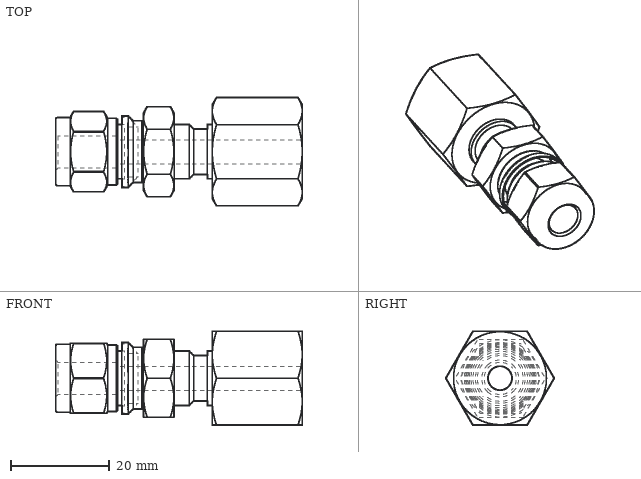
import cadquery as cq
import math

total_length = 50.18
hex_bevel_angle = math.radians(30)

nut_across_flats = 14.29
nut_across_corners = 16.37
nut_hex_start = 2.95
nut_hex_end = 10.6
nut_nose_diameter = 13.9
nut_nose_rounding = 0.45
nut_skirt_diameter = 13.6
nut_skirt_bevel = 0.25
nut_skirt_end = 12.6

groove_end = 13.5
collar_diameter = 14.6
collar_rim_end = 14.75
collar_hub_diameter = 12.6
collar_hub_bevel = 0.35
collar_recess_diameter = 14.1
collar_recess_cone_start = 14.7
undercut_start = 14.0
undercut_diameter = 10.1
body_hex_across_flats = 15.88
body_hex_start = 17.85
body_hex_end = 24.1

stem_diameter = 11.1
stem_shoulder_end = 27.15
neck_diameter = 9.3
neck_end = 30.85
end_hex_across_flats = 19.1
end_hex_start = 31.8

bevel_land_gap = 0.2

bore_diameter = 4.83
tube_socket_diameter = 6.55
tube_socket_depth = 12.6
socket_mouth_diameter = 7.5


def revolve_profile(points):
    """Turn a closed outline of (x, radius) points about the X axis."""
    return cq.Workplane("XY").polyline(points).close().revolve(360, (0, 0, 0), (1, 0, 0))


def sharp_corners(across_flats):
    """Width of a hexagon across its corners."""
    return 2 * across_flats / math.sqrt(3)


def bevelled_hexagon(start, end, across_flats, across_corners, start_face_diameter, end_face_diameter):
    """Hexagon along X with corners towards +/-Y, turned to a width across corners and coned at both ends."""
    corner_radius = across_corners / 2
    start_radius = start_face_diameter / 2
    end_radius = end_face_diameter / 2
    start_bevel = (corner_radius - start_radius) * math.tan(hex_bevel_angle)
    end_bevel = (corner_radius - end_radius) * math.tan(hex_bevel_angle)
    prism = (
        cq.Workplane("YZ")
        .workplane(offset=start)
        .polygon(6, sharp_corners(across_flats))
        .extrude(end - start)
    )
    envelope = revolve_profile([
        (start, 0),
        (start, start_radius),
        (start + start_bevel, corner_radius),
        (end - end_bevel, corner_radius),
        (end, end_radius),
        (end, 0),
    ])
    return prism.intersect(envelope)


def turned_body():
    """All round stretches of the outside, from the nut nose to the large hexagon."""
    nose_radius = nut_nose_diameter / 2
    skirt_radius = nut_skirt_diameter / 2
    stem_radius = stem_diameter / 2
    collar_radius = collar_diameter / 2
    hub_radius = collar_hub_diameter / 2
    neck_radius = neck_diameter / 2
    recess_radius = collar_recess_diameter / 2
    undercut_radius = undercut_diameter / 2
    recess_cone_end = collar_recess_cone_start + recess_radius - undercut_radius
    collar_slope_end = collar_rim_end + collar_radius - hub_radius
    shoulder_cone_end = stem_shoulder_end + stem_radius - neck_radius
    rounding_middle = nut_nose_rounding * (1 - math.sqrt(0.5))
    start = (
        cq.Workplane("XY")
        .lineTo(0, nose_radius - nut_nose_rounding)
        .threePointArc((rounding_middle, nose_radius - rounding_middle), (nut_nose_rounding, nose_radius))
    )
    outline = start.polyline([
        (nut_hex_start, nose_radius),
        (nut_hex_start, skirt_radius),
        (nut_skirt_end - nut_skirt_bevel, skirt_radius),
        (nut_skirt_end, skirt_radius - nut_skirt_bevel),
        (nut_skirt_end, stem_radius),
        (undercut_start, stem_radius),
        (undercut_start, undercut_radius),
        (recess_cone_end, undercut_radius),
        (collar_recess_cone_start, recess_radius),
        (groove_end, recess_radius),
        (groove_end, collar_radius),
        (collar_rim_end, collar_radius),
        (collar_slope_end, hub_radius),
        (body_hex_start - collar_hub_bevel, hub_radius),
        (body_hex_start, hub_radius - collar_hub_bevel),
        (body_hex_start, stem_radius),
        (stem_shoulder_end, stem_radius),
        (shoulder_cone_end, neck_radius),
        (neck_end, neck_radius),
        (neck_end, stem_radius),
        (end_hex_start, stem_radius),
        (end_hex_start, 0),
    ], includeCurrent=True).close()
    return outline.revolve(360, (0, 0, 0), (1, 0, 0))


def bore():
    """Tube socket with a bevelled mouth, then a narrower hole to the far end."""
    bore_radius = bore_diameter / 2
    socket_radius = tube_socket_diameter / 2
    mouth_radius = socket_mouth_diameter / 2
    return revolve_profile([
        (0, 0),
        (0, mouth_radius),
        (mouth_radius - socket_radius, socket_radius),
        (tube_socket_depth, socket_radius),
        (tube_socket_depth, bore_radius),
        (total_length, bore_radius),
        (total_length, 0),
    ])


def evenly_bevelled_hexagon(start, end, across_flats):
    """Sharp-cornered hexagon with the same bevel at both ends."""
    face_diameter = across_flats - bevel_land_gap
    corners = sharp_corners(across_flats)
    return bevelled_hexagon(start, end, across_flats, corners, face_diameter, face_diameter)


nut_hex = bevelled_hexagon(
    nut_hex_start,
    nut_hex_end,
    nut_across_flats,
    nut_across_corners,
    nut_nose_diameter,
    nut_skirt_diameter,
)
body_hex = evenly_bevelled_hexagon(body_hex_start, body_hex_end, body_hex_across_flats)
end_hex = evenly_bevelled_hexagon(end_hex_start, total_length, end_hex_across_flats)

result = turned_body().union(nut_hex).union(body_hex).union(end_hex).cut(bore())